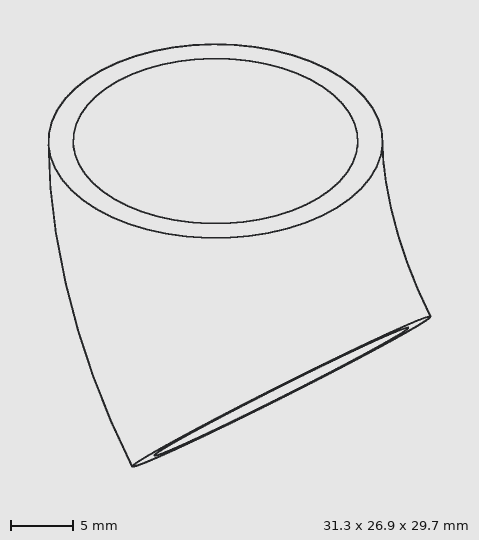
import cadquery as cq

outer_diameter = 26.9
wall_thickness = 2.0
bend_radius = 28.5
bend_angle = 45.0

inner_diameter = outer_diameter - 2 * wall_thickness


def make_elbow():
    """Revolve the ring-shaped upper end downwards about the bend axis on the +X side."""
    end_ring = cq.Workplane("XY").circle(outer_diameter / 2).circle(inner_diameter / 2)
    axis_start = (bend_radius, 0)
    axis_end = (bend_radius, -1)
    return end_ring.revolve(bend_angle, axis_start, axis_end)


result = make_elbow()